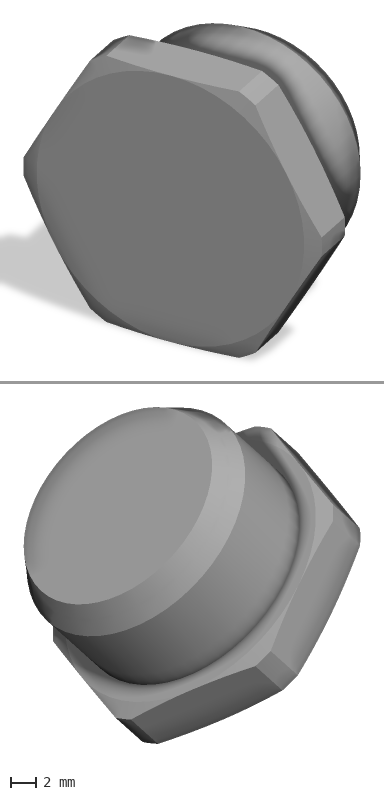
import cadquery as cq
import math

corner_diameter = 26.8
across_flats = 24.0
head_thickness = 4.5
head_chamfer_angle = 15.0

shank_diameter = 20.9
shank_length = 10.0
tip_chamfer_length = 2.5
tip_chamfer_angle = 30.0

corner_radius = corner_diameter / 2
flat_radius = across_flats / 2
shank_radius = shank_diameter / 2
head_chamfer_height = (corner_radius - flat_radius) * math.tan(math.radians(head_chamfer_angle))
tip_radius = shank_radius - tip_chamfer_length * math.tan(math.radians(tip_chamfer_angle))


def revolve_about_y(points):
    """Turn a closed (radius, y) outline around the Y axis."""
    return cq.Workplane("XY").polyline(points).close().revolve(360, (0, 0, 0), (0, 1, 0))


def make_head():
    """Hexagon with corners along X, chamfered conically on both faces."""
    hexagon = (
        cq.Workplane("XZ")
        .polygon(6, across_flats / math.cos(math.pi / 6))
        .extrude(head_thickness)
    )
    turned_envelope = revolve_about_y([
        (0, -head_thickness),
        (flat_radius, -head_thickness),
        (corner_radius, -head_thickness + head_chamfer_height),
        (corner_radius, -head_chamfer_height),
        (flat_radius, 0),
        (0, 0),
    ])
    return hexagon.intersect(turned_envelope)


def make_shank():
    """Solid cylinder along +Y with a conical tip."""
    return revolve_about_y([
        (0, 0),
        (shank_radius, 0),
        (shank_radius, shank_length - tip_chamfer_length),
        (tip_radius, shank_length),
        (0, shank_length),
    ])


result = make_head().union(make_shank())